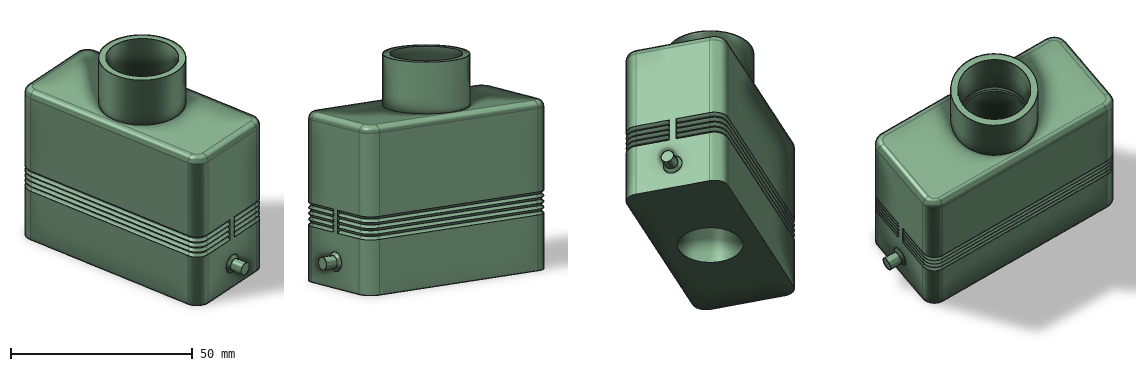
import cadquery as cq

BODY_LENGTH = 63.0
BODY_WIDTH = 29.4
BODY_HEIGHT = 47.5
CORNER_RADIUS = 3.95
TOP_FILLET = 2.0

TOTAL_HEIGHT = 62.0
NECK_DIAMETER = 24.0
BORE_DIAMETER = 20.0
PASSAGE_DIAMETER = 18.0
BORE_DEPTH = 13.75
BORE_FLOOR_CHAMFER = 0.5

GROOVE_COUNT = 4
GROOVE_BAND_HEIGHT = 6.5
GROOVE_PITCH = GROOVE_BAND_HEIGHT / GROOVE_COUNT
GROOVE_DEPTH = 0.8
GROOVE_BAND_BOTTOM = 15.6
WEB_WIDTH = 2.0

PEG_SPAN = 72.0
PEG_DIAMETER = 3.6
PEG_HEIGHT = 7.5
COLLAR_DIAMETER = 5.5
COLLAR_LENGTH = 0.8


def make_body():
    return (
        cq.Workplane("XY")
        .box(BODY_LENGTH, BODY_WIDTH, BODY_HEIGHT, centered=(True, True, False))
        .edges("|Z")
        .fillet(CORNER_RADIUS)
        .faces(">Z")
        .edges()
        .fillet(TOP_FILLET)
    )


def rounded_section(inset):
    """Body cross-section sketch, shrunk evenly by the inset."""
    return (
        cq.Sketch()
        .rect(BODY_LENGTH - 2 * inset, BODY_WIDTH - 2 * inset)
        .vertices()
        .fillet(CORNER_RADIUS - inset)
    )


def make_groove(bottom):
    """Ring of V-shaped section whose point faces into the body."""
    half_pitch = GROOVE_PITCH / 2
    crest = rounded_section(0)
    valley = rounded_section(GROOVE_DEPTH)
    middle = bottom + half_pitch
    top = bottom + GROOVE_PITCH
    lower_core = cq.Workplane("XY").placeSketch(
        crest.moved(cq.Location(cq.Vector(0, 0, bottom))),
        valley.moved(cq.Location(cq.Vector(0, 0, middle))),
    ).loft()
    upper_core = cq.Workplane("XY").placeSketch(
        valley.moved(cq.Location(cq.Vector(0, 0, middle))),
        crest.moved(cq.Location(cq.Vector(0, 0, top))),
    ).loft()
    slab = cq.Workplane("XY", origin=(0, 0, bottom)).placeSketch(crest).extrude(GROOVE_PITCH)
    return slab.cut(lower_core).cut(upper_core)


def make_web():
    """Plain strip, flush with both end faces, that interrupts the grooves."""
    return cq.Workplane("XY", origin=(0, 0, GROOVE_BAND_BOTTOM)).box(
        BODY_LENGTH, WEB_WIDTH, GROOVE_BAND_HEIGHT, centered=(True, True, False)
    )


def make_neck():
    return (
        cq.Workplane("XY", origin=(0, 0, BODY_HEIGHT))
        .circle(NECK_DIAMETER / 2)
        .extrude(TOTAL_HEIGHT - BODY_HEIGHT)
    )


def make_bore():
    """Bore with a chamfered floor, continued by a narrower hole through the whole part."""
    bore = (
        cq.Workplane("XY", origin=(0, 0, TOTAL_HEIGHT))
        .circle(BORE_DIAMETER / 2)
        .extrude(-BORE_DEPTH)
        .faces("<Z")
        .chamfer(BORE_FLOOR_CHAMFER)
    )
    passage = cq.Workplane("XY").circle(PASSAGE_DIAMETER / 2).extrude(TOTAL_HEIGHT)
    return bore.union(passage)


def make_peg():
    """Peg on the +X end face with a conical collar at its root."""
    face = BODY_LENGTH / 2
    collar_end = face + COLLAR_LENGTH
    peg_radius = PEG_DIAMETER / 2
    return (
        cq.Workplane("XY")
        .moveTo(face, 0)
        .lineTo(face, COLLAR_DIAMETER / 2)
        .lineTo(collar_end, peg_radius)
        .lineTo(PEG_SPAN / 2, peg_radius)
        .lineTo(PEG_SPAN / 2, 0)
        .close()
        .revolve(360, (0, 0, 0), (1, 0, 0))
        .translate((0, 0, PEG_HEIGHT))
    )


hood = make_body()
for index in range(GROOVE_COUNT):
    hood = hood.cut(make_groove(GROOVE_BAND_BOTTOM + index * GROOVE_PITCH))
hood = hood.union(make_web())
hood = hood.union(make_neck())
hood = hood.cut(make_bore())

peg = make_peg()
result = hood.union(peg).union(peg.mirror("YZ"))